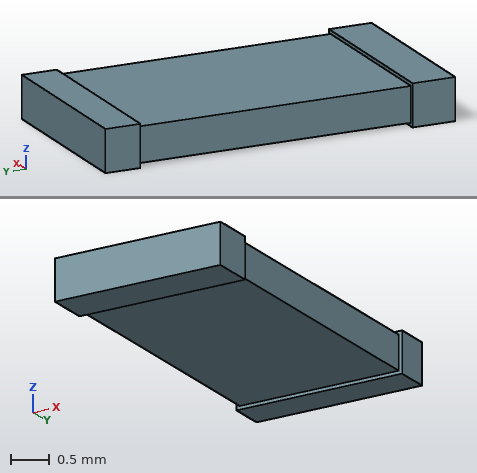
import cadquery as cq

length = 5.0
width = 2.5
height = 0.6

plating = 0.05
front_cap_length = 0.61
back_cap_length = 0.5

body_width = width - 2 * plating
body_height = height - 2 * plating


def end_cap(start_y, cap_length):
    """Full-section block starting at start_y and running toward +Y."""
    return (
        cq.Workplane("XY")
        .box(width, cap_length, height, centered=(True, False, True))
        .translate((0, start_y, 0))
    )


body = cq.Workplane("XY").box(body_width, length, body_height)
front_cap = end_cap(-length / 2, front_cap_length)
back_cap = end_cap(length / 2 - back_cap_length, back_cap_length)

result = body.union(front_cap).union(back_cap)